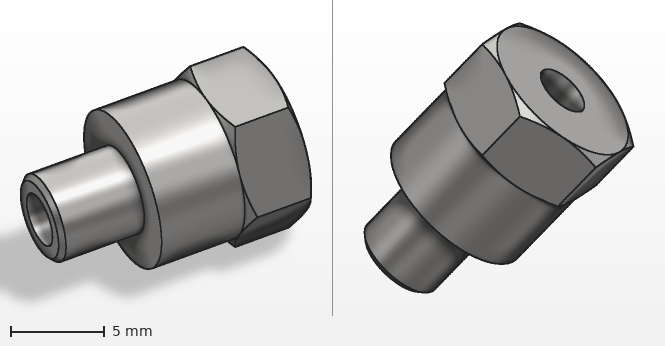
import cadquery as cq
import math

total_length = 14.0
across_flats = 9.0
hex_length = 4.0
spigot_length = 5.0
spigot_diameter = 5.0
spigot_chamfer_length = 0.3
spigot_chamfer_depth = 0.3
bore_diameter = 3.0
hex_chamfer_angle = 30.0

body_diameter = across_flats
across_corners = across_flats / math.cos(math.radians(30))
hex_start = total_length - hex_length
body_length = hex_start - spigot_length
corner_drop = (across_corners - across_flats) / 2 * math.tan(math.radians(hex_chamfer_angle))


def plane_at(y):
    """Plane facing +Y at the given distance from the spigot tip, local X along +X."""
    return cq.Plane(origin=(0, y, 0), xDir=(1, 0, 0), normal=(0, 1, 0))


def revolve_about_y(points):
    """Turn a closed (radius, Y) outline around the part's axis."""
    return cq.Workplane("XY").polyline(points).close().revolve(360, (0, 0, 0), (0, 1, 0))


def make_hex_head():
    """Hexagon with corners on the X axis, its corners cut conically at both ends."""
    hexagon = cq.Workplane(plane_at(hex_start)).polygon(6, across_corners).extrude(hex_length)
    corner_envelope = revolve_about_y([
        (0, hex_start),
        (across_flats / 2, hex_start),
        (across_corners / 2, hex_start + corner_drop),
        (across_corners / 2, total_length - corner_drop),
        (across_flats / 2, total_length),
        (0, total_length),
    ])
    return hexagon.intersect(corner_envelope)


def make_body():
    """Round body between the spigot and the hexagon."""
    return cq.Workplane(plane_at(spigot_length)).circle(body_diameter / 2).extrude(body_length)


def make_spigot():
    """Narrow round end with a chamfered tip."""
    radius = spigot_diameter / 2
    return revolve_about_y([
        (0, 0),
        (radius - spigot_chamfer_depth, 0),
        (radius, spigot_chamfer_length),
        (radius, spigot_length),
        (0, spigot_length),
    ])


def make_bore():
    """Plain hole through the whole length."""
    return cq.Workplane(plane_at(0)).circle(bore_diameter / 2).extrude(total_length)


result = make_hex_head().union(make_body()).union(make_spigot()).cut(make_bore())